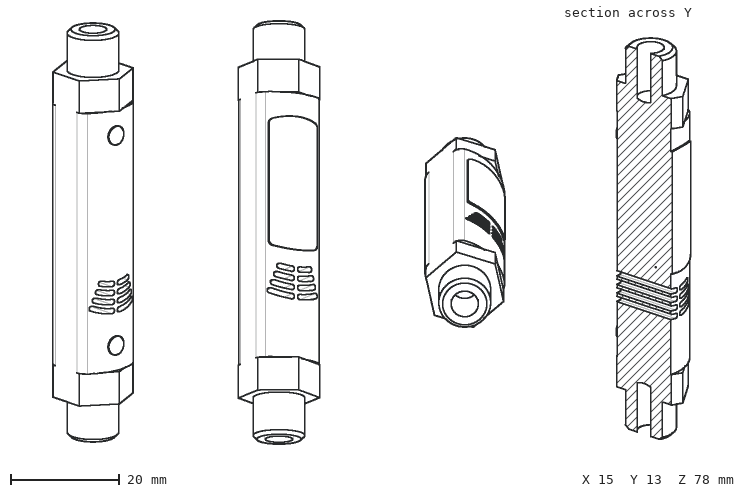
import cadquery as cq
import math

total_length = 78.0
body_length = 50.0
nut_height = 6.2
stub_length = (total_length - body_length) / 2 - nut_height
across_flats = 13.0

stub_diameter = 9.55
stub_chamfer = 0.7
bore_diameter = 5.0
bore_depth = 10.0
drill_point_angle = 118.0

side_radius = 10.0
body_half_width = 6.53
body_corner_radius = 2.2

raised_height = 0.25
panel_half_width = 5.05
panel_top = 20.55
panel_bottom = -4.6
panel_end_radius = 17.0
panel_corner_radius = 1.0

pad_diameter = 3.6
pad_offset = 20.15

slot_rows = 4
slot_width = 1.0
slot_radius = 12.5
slot_top_row = -8.25
slot_pitch = 1.73
slot_inner_end = 0.35
slot_first_outer_end = 3.65
slot_outer_end_step = 0.53


def side_profile(growth):
    """Lens-shaped prism between the two bulging sides, grown outwards by growth."""
    radius = side_radius + growth
    centre_x = body_half_width - side_radius
    discs = [
        cq.Workplane("XY").center(x, 0).circle(radius).extrude(body_length / 2, both=True)
        for x in (centre_x, -centre_x)
    ]
    return discs[0].intersect(discs[1])


def make_body():
    flats = cq.Workplane("XY").box(2 * side_radius, across_flats, body_length)
    return side_profile(0).intersect(flats).edges("|Z").fillet(body_corner_radius)


def make_end_fitting():
    """Hex nut and chamfered stub at the +Z end."""
    nut_base = body_length / 2
    corner_diameter = across_flats / math.cos(math.pi / 6)
    nut = cq.Workplane("XY").workplane(offset=nut_base).polygon(6, corner_diameter).extrude(nut_height)
    stub = (
        cq.Workplane("XY")
        .workplane(offset=nut_base + nut_height)
        .circle(stub_diameter / 2)
        .extrude(stub_length)
        .faces(">Z")
        .chamfer(stub_chamfer)
    )
    return nut.union(stub)


def make_bore():
    """Blind bore with a conical bottom, entering from the +Z end."""
    bore_radius = bore_diameter / 2
    end_z = total_length / 2
    floor_z = end_z - bore_depth
    tip_z = floor_z - bore_radius / math.tan(math.radians(drill_point_angle / 2))
    return (
        cq.Workplane("XZ")
        .polyline([(0, tip_z), (bore_radius, floor_z), (bore_radius, end_z), (0, end_z)])
        .close()
        .revolve(360, (0, 0, 0), (0, 1, 0))
    )


def make_panel():
    """Rounded panel with bowed ends, following the curve of the -X side."""
    sag = panel_end_radius - math.sqrt(panel_end_radius**2 - panel_half_width**2)
    outline = (
        cq.Workplane("YZ")
        .moveTo(-panel_half_width, panel_bottom + sag)
        .threePointArc((0, panel_bottom), (panel_half_width, panel_bottom + sag))
        .lineTo(panel_half_width, panel_top - sag)
        .threePointArc((0, panel_top), (-panel_half_width, panel_top - sag))
        .close()
        .extrude(-across_flats)
        .edges("|X")
        .fillet(panel_corner_radius)
    )
    return outline.intersect(side_profile(raised_height))


def make_pads():
    pads = (
        cq.Workplane("YZ")
        .pushPoints([(0, pad_offset), (0, -pad_offset)])
        .circle(pad_diameter / 2)
        .extrude(across_flats)
    )
    return pads.intersect(side_profile(raised_height))


def make_slot(row):
    """Arc-shaped slot on the +Y side of the row, with rounded ends."""
    half_width = slot_width / 2
    centre_z = slot_top_row - row * slot_pitch + slot_radius
    outer_end = slot_first_outer_end + row * slot_outer_end_step
    start = math.asin((slot_inner_end + half_width) / slot_radius)
    finish = math.asin((outer_end - half_width) / slot_radius)
    middle = (start + finish) / 2
    cap = half_width / slot_radius

    def at(radius, angle):
        return (radius * math.sin(angle), centre_z - radius * math.cos(angle))

    lower = slot_radius + half_width
    upper = slot_radius - half_width
    return (
        cq.Workplane("YZ")
        .moveTo(*at(lower, start))
        .threePointArc(at(lower, middle), at(lower, finish))
        .threePointArc(at(slot_radius, finish + cap), at(upper, finish))
        .threePointArc(at(upper, middle), at(upper, start))
        .threePointArc(at(slot_radius, start - cap), at(lower, start))
        .close()
        .extrude(across_flats, both=True)
    )


fitting = make_end_fitting()
bore = make_bore()

result = make_body().union(make_panel()).union(make_pads())
for end in (fitting, fitting.mirror("XY")):
    result = result.union(end)
for end_bore in (bore, bore.mirror("XY")):
    result = result.cut(end_bore)
for row in range(slot_rows):
    slot = make_slot(row)
    result = result.cut(slot).cut(slot.mirror("XZ"))